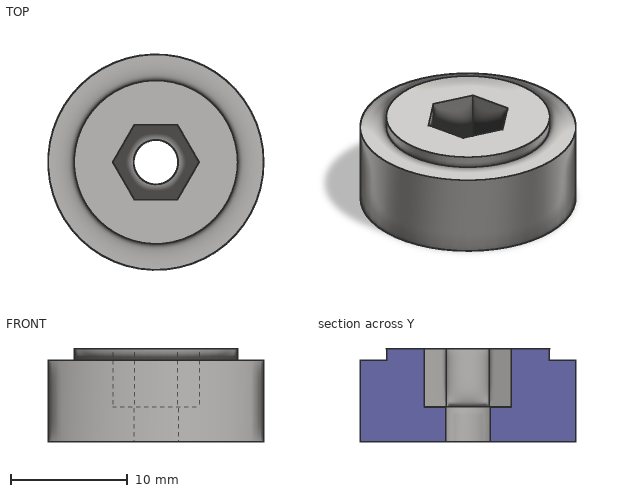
import cadquery as cq

body_diameter = 18.5
total_height = 8.0
boss_diameter = 14.0
boss_height = 1.0
hole_diameter = 3.8
hex_across_corners = 7.4
hex_depth = 5.0

body_height = total_height - boss_height

body = cq.Workplane("XY").circle(body_diameter / 2).extrude(body_height)
boss = (
    cq.Workplane("XY")
    .workplane(offset=body_height)
    .circle(boss_diameter / 2)
    .extrude(boss_height)
)

hex_pocket = (
    cq.Workplane("XY")
    .workplane(offset=total_height)
    .polygon(6, hex_across_corners)
    .extrude(-hex_depth)
)

through_hole = cq.Workplane("XY").circle(hole_diameter / 2).extrude(total_height)

result = body.union(boss).cut(hex_pocket).cut(through_hole)